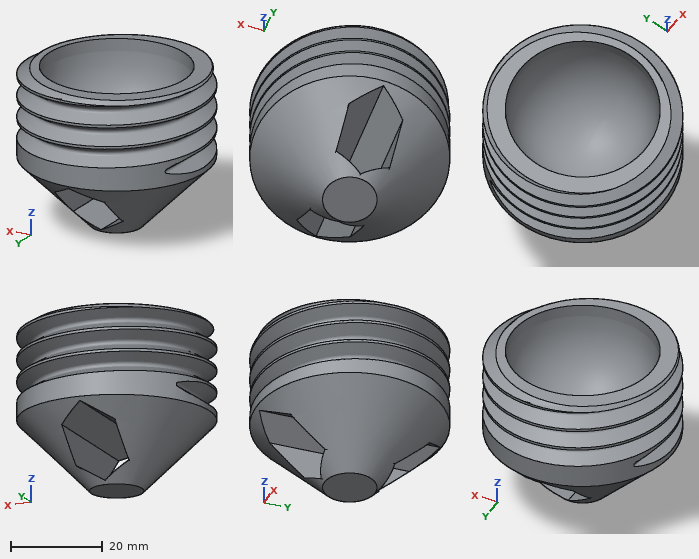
import cadquery as cq
import math

outer_radius = 22.0
total_height = 37.0
cone_height = 16.0
tip_radius = outer_radius - cone_height
rim_chamfer = 0.95

socket_radius = 34.0 / 2
mouth_depth = 3.0

hex_corner_diameter = 14.5
hex_center_height = 8.0

pitch = 5.0
groove_start_height = 19.55
groove_mouth_width = pitch * 7 / 8
groove_root_width = 1.1
flank_angle = math.radians(30)
groove_turns = 4
overlap = 0.45


def make_body():
    return (
        cq.Workplane("XZ")
        .moveTo(0, 0)
        .lineTo(tip_radius, 0)
        .lineTo(outer_radius, cone_height)
        .lineTo(outer_radius, total_height)
        .lineTo(0, total_height)
        .close()
        .revolve(360, (0, 0, 0), (0, 1, 0))
    )


def make_rim_chamfer():
    """Triangular ring that bevels the top rim at 45 degrees."""
    return (
        cq.Workplane("XZ")
        .moveTo(outer_radius - rim_chamfer - overlap, total_height + overlap)
        .lineTo(outer_radius + overlap, total_height - rim_chamfer - overlap)
        .lineTo(outer_radius + overlap, total_height + overlap)
        .close()
        .revolve(360, (0, 0, 0), (0, 1, 0))
    )


def make_socket():
    center_height = total_height - mouth_depth
    ball = cq.Workplane("XY").sphere(socket_radius).translate((0, 0, center_height))
    mouth = cq.Workplane("XY").workplane(offset=center_height).circle(socket_radius).extrude(mouth_depth)
    return ball.union(mouth)


def make_hex_hole():
    return (
        cq.Workplane("XZ", origin=(0, 0, hex_center_height))
        .transformed(rotate=(0, 0, 90))
        .polygon(6, hex_corner_diameter)
        .extrude(outer_radius, both=True)
    )


def groove_profile():
    """Groove section on the -X side: straight flanks joined by a tangent root arc."""
    half_root = groove_root_width / 2
    flank_depth = (groove_mouth_width - groove_root_width) / 2 / math.tan(flank_angle)
    arc_rise = half_root * (1 - math.sin(flank_angle)) / math.cos(flank_angle)
    half_open = groove_mouth_width / 2 + overlap * math.tan(flank_angle)
    open_x = -outer_radius - overlap
    root_x = -outer_radius + flank_depth
    return (
        cq.Workplane("XZ", origin=(0, 0, groove_start_height))
        .moveTo(open_x, -half_open)
        .lineTo(root_x, -half_root)
        .threePointArc((root_x + arc_rise, 0), (root_x, half_root))
        .lineTo(open_x, half_open)
        .close()
    )


def make_groove():
    helix = cq.Wire.makeHelix(pitch, groove_turns * pitch, outer_radius)
    path = cq.Workplane(helix).rotate((0, 0, 0), (0, 0, 1), 180).translate((0, 0, groove_start_height))
    return groove_profile().sweep(path, isFrenet=True)


def make_runout():
    """Straight tangential lead-out at the lower end of the groove."""
    return groove_profile().extrude(-outer_radius)


result = (
    make_body()
    .cut(make_groove())
    .cut(make_runout())
    .cut(make_rim_chamfer())
    .cut(make_socket())
    .cut(make_hex_hole())
)